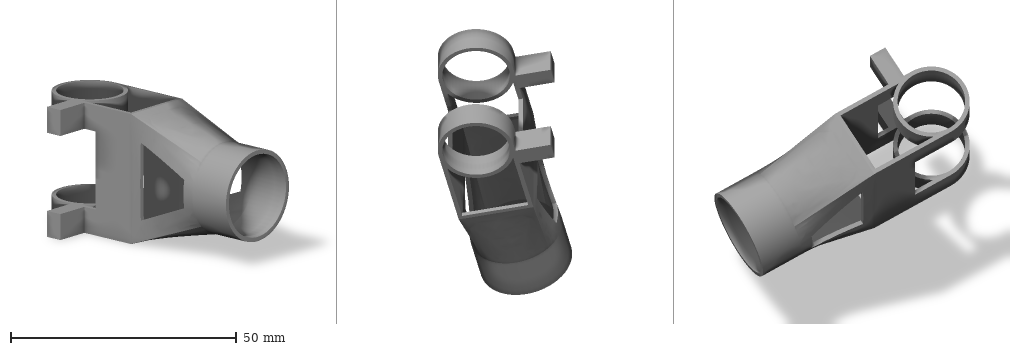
import cadquery as cq
import math

length = 58.5
overall_width = 27.0
wall = 1.0
fork_width = 17.0
fork_height = 30.0
fork_end_x = 28.45
arm_gap = 18.0

ring_radius = fork_width / 2
ring_x = ring_radius
gap_end_x = 17.85
rim_length = 0.9

tube_diameter = 21.0
tube_radius = tube_diameter / 2
tube_length = 10.0
tube_start_x = length - tube_length

tab_start_x = 10.55
tab_width = 4.0
tab_tip_y = tube_radius - overall_width

window_start_x = 31.4
window_end_x = 45.5
window_end_height = 6.5


def box_between(x_range, y_range, z_range):
    """Box filling the given (low, high) ranges."""
    sizes = [high - low for low, high in (x_range, y_range, z_range)]
    corner = (x_range[0], y_range[0], z_range[0])
    return cq.Workplane("XY").box(*sizes, centered=False).translate(corner)


def centred_box(x_start, x_end, width, height):
    """Box centred on the X axis between two X positions."""
    return box_between((x_start, x_end), (-width / 2, width / 2), (-height / 2, height / 2))


def transition(inset):
    """Rectangle-to-circle loft, inset from the outer skin.

    The circle is four quarter arcs meeting on the diagonals, one arc per rectangle side.
    """
    radius = tube_radius - inset
    diagonal = radius / math.sqrt(2)
    return (
        cq.Workplane("YZ", origin=(fork_end_x, 0, 0))
        .rect(fork_width - 2 * inset, fork_height - 2 * inset)
        .workplane(offset=tube_start_x - fork_end_x)
        .moveTo(-diagonal, -diagonal)
        .threePointArc((0, -radius), (diagonal, -diagonal))
        .threePointArc((radius, 0), (diagonal, diagonal))
        .threePointArc((0, radius), (-diagonal, diagonal))
        .threePointArc((-radius, 0), (-diagonal, -diagonal))
        .close()
        .loft(combine=True)
    )


def tube(radius):
    """Solid cylinder along X at the far end."""
    return cq.Workplane("YZ", origin=(tube_start_x, 0, 0)).circle(radius).extrude(tube_length)


def upright_cylinder(radius):
    """Full-height cylinder on the ring axis."""
    return (
        cq.Workplane("XY", origin=(ring_x, 0, -fork_height / 2))
        .circle(radius)
        .extrude(fork_height)
    )


inner_width = fork_width - 2 * wall
inner_height = fork_height - 2 * wall
rim_start_x = fork_end_x - rim_length
fork = (
    centred_box(ring_x, fork_end_x, fork_width, fork_height)
    .cut(centred_box(ring_x, rim_start_x, inner_width, fork_height))
    .cut(centred_box(rim_start_x, fork_end_x, inner_width, inner_height))
)

rings = upright_cylinder(ring_radius)
tab = box_between(
    (tab_start_x, tab_start_x + tab_width),
    (tab_tip_y, wall - fork_width / 2),
    (-fork_height / 2, fork_height / 2),
)
fork = fork.union(rings).union(tab).cut(upright_cylinder(ring_radius - wall))
fork = fork.cut(centred_box(0, gap_end_x, 2 * abs(tab_tip_y), arm_gap))

socket = transition(0).union(tube(tube_radius))
socket = socket.cut(transition(wall)).cut(tube(tube_radius - wall))

window = (
    cq.Workplane("XZ")
    .polyline([
        (window_start_x, -arm_gap / 2),
        (window_end_x, -window_end_height / 2),
        (window_end_x, window_end_height / 2),
        (window_start_x, arm_gap / 2),
    ])
    .close()
    .extrude(2 * tube_radius, both=True)
)

result = fork.union(socket.cut(window))